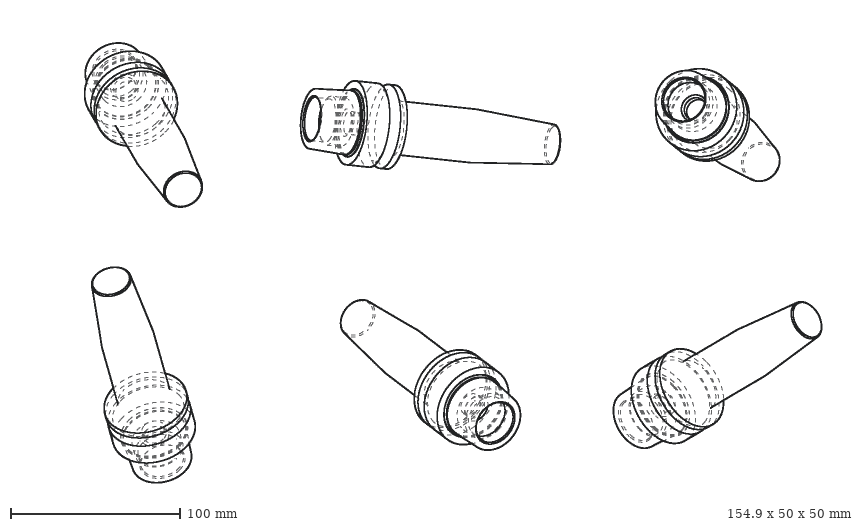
import cadquery as cq
import math

LENGTH = 154.9

NOSE_RADIUS = 18.0
NOSE_ROUNDING = 1.0
TAPER_END_X = 23.1
TAPER_END_RADIUS = 19.2

RELIEF_STEP = 0.3
RELIEF_RADIUS = 18.9
RECESS_START_X = 24.3
RECESS_DEPTH = 0.6
RECESS_BOTTOM_RADIUS = 19.8
RECESS_OUTER_RADIUS = 20.3

FLANGE_X = 25.0
FLANGE_DIAMETER = 50.0
FLANGE_RADIUS = FLANGE_DIAMETER / 2
FLANGE_END_X = 50.7

GROOVE_CENTER_X = 42.9
GROOVE_WIDTH = 7.0
GROOVE_RADIUS = 21.7
GROOVE_ROUNDING = 1.0
GROOVE_WALL_ANGLE = math.radians(60)

NECK_RADIUS = 16.0
NECK_FILLET = 5.0
TIP_TAPER_X = 104.1
TIP_RADIUS = 12.0
TIP_CHAMFER = 0.8

BORE_RADIUS = 12.9
BORE_CHAMFER = 0.8
BORE_END_X = 9.8
CHAMBER_RADIUS = 14.5
SHOULDER_ANGLE = math.radians(60)
FLOOR_X = 21.7
FLOOR_ROUNDING = 2.8

PILOT_RADIUS = 6.8
PILOT_CHAMFER = 1.4
PILOT_DEPTH = 6.2


def revolve_about_x(profile):
    return profile.close().revolve(360, (0, 0, 0), (1, 0, 0))


def make_body():
    profile = (
        cq.Workplane("XY")
        .lineTo(0, NOSE_RADIUS - NOSE_ROUNDING)
        .radiusArc((NOSE_ROUNDING, NOSE_RADIUS), NOSE_ROUNDING)
        .lineTo(TAPER_END_X, TAPER_END_RADIUS)
        .lineTo(TAPER_END_X + RELIEF_STEP, RELIEF_RADIUS)
        .lineTo(RECESS_START_X, RELIEF_RADIUS)
        .lineTo(FLANGE_X + RECESS_DEPTH, RECESS_BOTTOM_RADIUS)
        .lineTo(FLANGE_X, RECESS_OUTER_RADIUS)
        .lineTo(FLANGE_X, FLANGE_RADIUS)
        .lineTo(FLANGE_END_X, FLANGE_RADIUS)
        .lineTo(FLANGE_END_X, NECK_RADIUS + NECK_FILLET)
        .radiusArc((FLANGE_END_X + NECK_FILLET, NECK_RADIUS), -NECK_FILLET)
        .lineTo(TIP_TAPER_X, NECK_RADIUS)
        .lineTo(LENGTH - TIP_CHAMFER, TIP_RADIUS)
        .lineTo(LENGTH, TIP_RADIUS - TIP_CHAMFER)
        .lineTo(LENGTH, 0)
    )
    return revolve_about_x(profile)


def make_groove():
    blend_radius = GROOVE_RADIUS + GROOVE_ROUNDING * (1 - math.cos(GROOVE_WALL_ANGLE))
    rim_half = GROOVE_WIDTH / 2
    blend_half = rim_half - (FLANGE_RADIUS - blend_radius) / math.tan(GROOVE_WALL_ANGLE)
    floor_half = blend_half - GROOVE_ROUNDING * math.sin(GROOVE_WALL_ANGLE)
    profile = (
        cq.Workplane("XY")
        .moveTo(GROOVE_CENTER_X - rim_half, FLANGE_RADIUS)
        .lineTo(GROOVE_CENTER_X - blend_half, blend_radius)
        .radiusArc((GROOVE_CENTER_X - floor_half, GROOVE_RADIUS), -GROOVE_ROUNDING)
        .lineTo(GROOVE_CENTER_X + floor_half, GROOVE_RADIUS)
        .radiusArc((GROOVE_CENTER_X + blend_half, blend_radius), -GROOVE_ROUNDING)
        .lineTo(GROOVE_CENTER_X + rim_half, FLANGE_RADIUS)
    )
    return revolve_about_x(profile)


def make_cavity():
    shoulder_length = (CHAMBER_RADIUS - BORE_RADIUS) / math.tan(SHOULDER_ANGLE)
    profile = (
        cq.Workplane("XY")
        .lineTo(0, BORE_RADIUS + BORE_CHAMFER)
        .lineTo(BORE_CHAMFER, BORE_RADIUS)
        .lineTo(BORE_END_X, BORE_RADIUS)
        .lineTo(BORE_END_X + shoulder_length, CHAMBER_RADIUS)
        .lineTo(FLOOR_X - FLOOR_ROUNDING, CHAMBER_RADIUS)
        .radiusArc((FLOOR_X, CHAMBER_RADIUS - FLOOR_ROUNDING), FLOOR_ROUNDING)
        .lineTo(FLOOR_X, PILOT_RADIUS + PILOT_CHAMFER)
        .lineTo(FLOOR_X + PILOT_CHAMFER, PILOT_RADIUS)
        .lineTo(FLOOR_X + PILOT_DEPTH, PILOT_RADIUS)
        .lineTo(FLOOR_X + PILOT_DEPTH, 0)
    )
    return revolve_about_x(profile)


result = make_body().cut(make_groove()).cut(make_cavity())